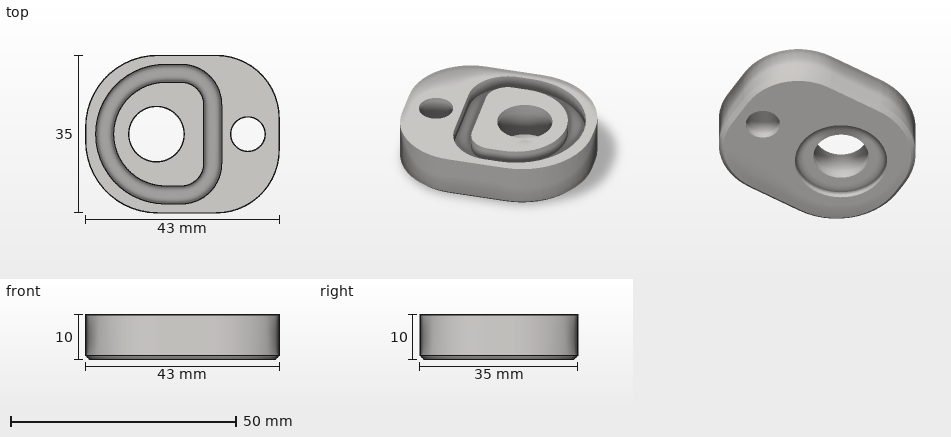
import cadquery as cq
import math

length = 43.0
width = 35.0
height = 10.0
left_corner_radius = 16.0
right_corner_radius = 14.0
bottom_chamfer = 1.0

groove_left = -length / 2 + 2.25
groove_length = 28.0
groove_width = 31.0
groove_right_radius = 9.0
groove_band = 4.0
groove_depth = 3.3

main_bore_diameter = 12.25
main_bore_x = -5.75
counterbore_diameter = 20.5
counterbore_depth = 1.8
side_hole_diameter = 7.6
side_hole_x = 14.55


def rounded_outline(left, size_x, size_y, left_radius, right_radius):
    """Closed outline symmetric about X, with its own corner radius at each end."""
    right = left + size_x
    top = size_y / 2
    left_center_x = left + left_radius
    right_center_x = right - right_radius
    left_flat = top - left_radius
    right_flat = top - right_radius
    left_diagonal = left_radius * math.sqrt(0.5)
    right_diagonal = right_radius * math.sqrt(0.5)
    left_mid = (left_center_x - left_diagonal, left_flat + left_diagonal)
    right_mid = (right_center_x + right_diagonal, right_flat + right_diagonal)

    outline = (
        cq.Workplane("XY")
        .moveTo(left, left_flat)
        .threePointArc(left_mid, (left_center_x, top))
        .lineTo(right_center_x, top)
        .threePointArc(right_mid, (right, right_flat))
        .lineTo(right, -right_flat)
        .threePointArc((right_mid[0], -right_mid[1]), (right_center_x, -top))
        .lineTo(left_center_x, -top)
        .threePointArc((left_mid[0], -left_mid[1]), (left, -left_flat))
    )
    return outline.close()


def d_prism(inset):
    """Groove-depth prism with a semicircular -X end, inset from the groove's outer wall."""
    end_radius = groove_width / 2 - inset
    left = groove_left + inset
    left_center_x = left + end_radius
    right = groove_left + groove_length - inset
    return (
        cq.Workplane("XY")
        .workplane(offset=height - groove_depth)
        .moveTo(right, end_radius)
        .lineTo(left_center_x, end_radius)
        .threePointArc((left, 0), (left_center_x, -end_radius))
        .lineTo(right, -end_radius)
        .close()
        .extrude(groove_depth)
        .edges("|Z and >X")
        .fillet(groove_right_radius - inset)
    )


def cylinder(center_x, diameter, depth):
    """Vertical cylinder standing on the bottom plane."""
    return cq.Workplane("XY").center(center_x, 0).circle(diameter / 2).extrude(depth)


body = rounded_outline(-length / 2, length, width, left_corner_radius, right_corner_radius)
body = body.extrude(height).faces("<Z").chamfer(bottom_chamfer)

groove = d_prism(0).cut(d_prism(groove_band))
main_bore = cylinder(main_bore_x, main_bore_diameter, height)
counterbore = cylinder(main_bore_x, counterbore_diameter, counterbore_depth)
side_hole = cylinder(side_hole_x, side_hole_diameter, height)

result = body.cut(groove).cut(main_bore).cut(counterbore).cut(side_hole)